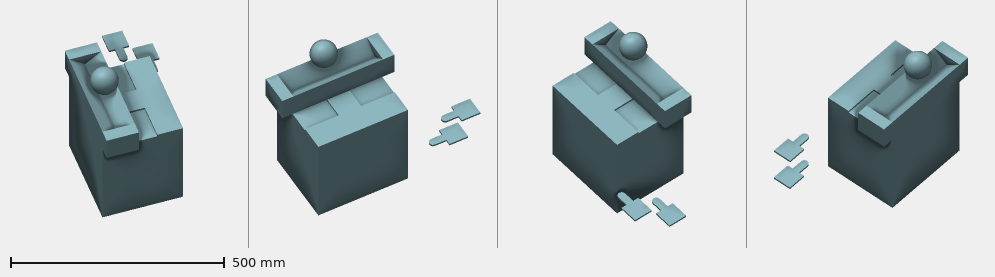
import cadquery as cq

box_width = 240.0
box_depth = 200.0
box_height = 240.0
head_overhang = 30.0
head_width = box_width + 2 * head_overhang
head_depth = 80.0
head_height = 60.0
head_top = box_height + head_height

trough_depth = 30.0

pocket_gap = 60.0
pocket_length = (box_width - pocket_gap) / 2
pocket_depth = 5.0
pocket_front = 30.0
pocket_back = 136.0

plate_size = 50.0
plate_thickness = 5.0
tongue_width = 20.0
tongue_reach = 40.0
plate_places = [
    (-314.14, 174.0, 120.0),
    (-252.0, 227.57, 122.5),
]

ball_radius = 33.5
ball_center = (17.0, 40.5, 355.84)


def make_box(width, depth, height, bottom):
    """Block centred on X with its front face at Y = 0."""
    block = cq.Workplane("XY").box(width, depth, height, centered=(True, False, False))
    return block.translate((0, 0, bottom))


def make_trough():
    """Triangular prism that cuts the V between the two ends of the head bar."""
    return (
        cq.Workplane("YZ")
        .moveTo(0, head_top)
        .lineTo(head_depth / 2, head_top - trough_depth)
        .lineTo(head_depth, head_top)
        .close()
        .extrude(box_width / 2, both=True)
    )


def make_pocket(side):
    """Pocket cutter reaching inward from the left (-1) or right (+1) side of the box."""
    pocket_width = pocket_back - pocket_front
    pocket = make_box(pocket_length, pocket_width, pocket_depth, box_height - pocket_depth)
    return pocket.translate((side * (box_width - pocket_length) / 2, pocket_front, 0))


def make_housing():
    box = make_box(box_width, box_depth, box_height, 0)
    for side in (-1, 1):
        box = box.cut(make_pocket(side))
    head = make_box(head_width, head_depth, head_height, box_height)
    return box.union(head.cut(make_trough()))


def make_plate(place):
    """Square plate whose tongue points to +X."""
    half_tongue = tongue_width / 2
    half_plate = plate_size / 2
    tongue_tip = plate_size + tongue_reach
    tongue_straight_end = tongue_tip - half_tongue
    plate = (
        cq.Workplane("XY")
        .moveTo(0, -half_plate)
        .lineTo(plate_size, -half_plate)
        .lineTo(plate_size, -half_tongue)
        .lineTo(tongue_straight_end, -half_tongue)
        .threePointArc((tongue_tip, 0), (tongue_straight_end, half_tongue))
        .lineTo(plate_size, half_tongue)
        .lineTo(plate_size, half_plate)
        .lineTo(0, half_plate)
        .close()
        .extrude(plate_thickness)
    )
    return plate.translate(place)


def make_ball():
    return cq.Workplane("XY").sphere(ball_radius).translate(ball_center)


housing = make_housing()
plates = [make_plate(place) for place in plate_places]
ball = make_ball()

result = cq.Compound.makeCompound([housing.val(), *[plate.val() for plate in plates], ball.val()])